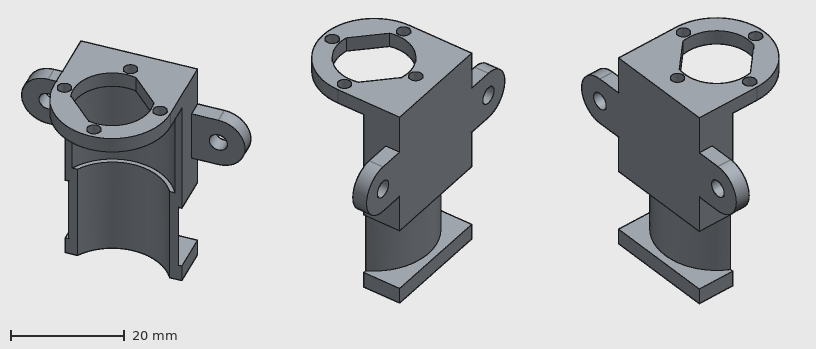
import cadquery as cq
import math

total_length = 42.0
height = 42.0
body_radius = 10.95
back_distance = 13.27
front_distance = 5.55
plate_thickness = 3.02

upper_bore_radius = 11.15
lower_bore_radius = 10.3
bore_step_depth = 22.5

neck_radius = 11.75
neck_top_depth = 25.65
foot_height = 3.3

opening_radius = 7.35
opening_flat_distance = 6.25
opening_flat_angle = 45.0
screw_hole_diameter = 2.5
screw_circle_radius = 9.0

tab_radius = 5.0
tab_thickness = 3.0
tab_hole_diameter = 3.4
tab_depth = 12.9

plate_bottom = height - plate_thickness
bore_step_z = height - bore_step_depth
neck_top_z = height - neck_top_depth
tab_z = height - tab_depth
tab_x = total_length / 2 - tab_radius
cradle_depth = back_distance - front_distance


def cylinder(radius, bottom, top):
    return cq.Workplane("XY").workplane(offset=bottom).circle(radius).extrude(top - bottom)


def cradle_block(bottom, top):
    """Rectangular block between the open front face and the flat back."""
    return (
        cq.Workplane("XY")
        .box(2 * body_radius, cradle_depth, top - bottom, centered=(True, False, False))
        .translate((0, front_distance, bottom))
    )


def make_cradle():
    """Half-open motor cradle with a stepped bore and a rounded neck."""
    neck_block = cradle_block(foot_height, neck_top_z)
    neck = neck_block.intersect(cylinder(neck_radius, foot_height, neck_top_z))
    cradle = cradle_block(neck_top_z, plate_bottom).union(neck).union(cradle_block(0, foot_height))
    cradle = cradle.cut(cylinder(lower_bore_radius, 0, bore_step_z))
    return cradle.cut(cylinder(upper_bore_radius, bore_step_z, plate_bottom))


def make_end_plate():
    """Round-fronted plate with a two-flat opening and four screw holes."""
    plate = (
        cq.Workplane("XY")
        .workplane(offset=plate_bottom)
        .moveTo(-body_radius, back_distance)
        .lineTo(-body_radius, 0)
        .threePointArc((0, -body_radius), (body_radius, 0))
        .lineTo(body_radius, back_distance)
        .close()
        .extrude(plate_thickness)
    )
    half_flat = math.sqrt(opening_radius**2 - opening_flat_distance**2)
    opening = (
        cq.Workplane("XY")
        .workplane(offset=plate_bottom)
        .moveTo(opening_flat_distance, -half_flat)
        .lineTo(opening_flat_distance, half_flat)
        .threePointArc((0, opening_radius), (-opening_flat_distance, half_flat))
        .lineTo(-opening_flat_distance, -half_flat)
        .threePointArc((0, -opening_radius), (opening_flat_distance, -half_flat))
        .close()
        .extrude(plate_thickness)
        .rotate((0, 0, 0), (0, 0, 1), opening_flat_angle)
    )
    screw_holes = (
        cq.Workplane("XY")
        .workplane(offset=plate_bottom)
        .polarArray(screw_circle_radius, 0, 360, 4)
        .circle(screw_hole_diameter / 2)
        .extrude(plate_thickness)
    )
    return plate.cut(opening).cut(screw_holes)


def make_tab(side):
    """Round-ended mounting tab; side is -1 or 1 along X."""
    back_plane = cq.Workplane("XZ", origin=(0, back_distance, 0))
    arm_length = tab_x - body_radius
    arm = (
        back_plane.center(side * (body_radius + arm_length / 2), tab_z)
        .rect(arm_length, 2 * tab_radius)
        .extrude(tab_thickness)
    )
    end = back_plane.center(side * tab_x, tab_z).circle(tab_radius).extrude(tab_thickness)
    hole = back_plane.center(side * tab_x, tab_z).circle(tab_hole_diameter / 2).extrude(tab_thickness)
    return arm.union(end).cut(hole)


result = make_cradle().union(make_end_plate())
for side in (-1, 1):
    result = result.union(make_tab(side))